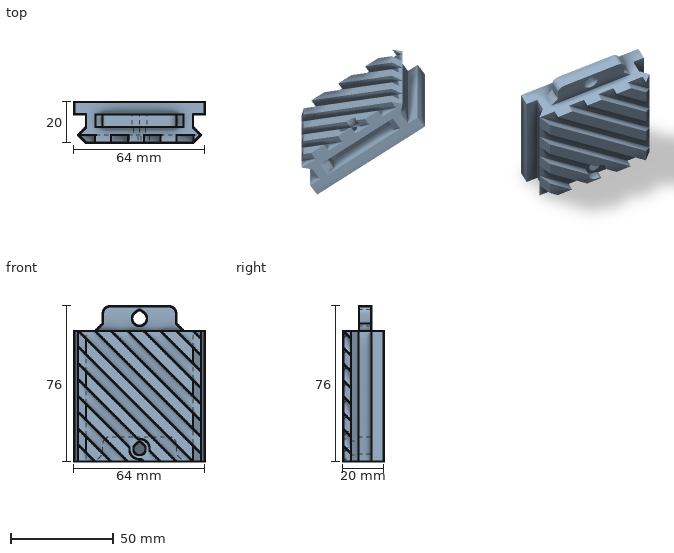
import cadquery as cq
import math

plate_width = 64.0
total_height = 76.0
tab_height = 12.1
plate_height = total_height - tab_height
plate_depth = 20.0
flange_depth = 6.1

tip_half_width = 30.0
bevel = 3.8
neck_half_width = tip_half_width - bevel
tip_y = bevel
neck_front_y = 2 * bevel
flange_front_y = plate_depth - flange_depth

tab_half_width = 18.0
tab_chamfer = 3.6
tab_radius = 3.6
tab_thickness = 6.2
tab_front_y = flange_front_y - tab_thickness
socket_clearance = 0.2
pin_offset = 6.1

tab_hole_radius = 3.6
tab_hole_peak = 4.3
socket_hole_radius = 3.0
socket_hole_peak = 3.9
recess_radius = 5.0

rib_pitch = 16.0
groove_width = 8.2
first_groove_x = -tip_half_width
groove_count = 8
groove_depth = tip_y


def prism(points, y_start, y_length):
    """Extrude an X-Z outline from y_start towards the back."""
    outline = cq.Workplane("XZ", origin=(0, y_start, 0)).polyline(points).close()
    return outline.extrude(-y_length)


def make_plate():
    half_width = plate_width / 2
    right_side = [
        (neck_half_width, 0),
        (tip_half_width, tip_y),
        (neck_half_width, neck_front_y),
        (neck_half_width, flange_front_y),
        (half_width, flange_front_y),
        (half_width, plate_depth),
    ]
    left_side = [(-x, y) for x, y in reversed(right_side)]
    return cq.Workplane("XY").polyline(right_side + left_side).close().extrude(plate_height)


def make_tab(base_z, clearance=0):
    """Tab standing on base_z, flared at its foot, rounded at its top, thickened by the clearance."""
    foot_half_width = tab_half_width + tab_chamfer
    outline = [
        (-foot_half_width, base_z),
        (foot_half_width, base_z),
        (tab_half_width, base_z + tab_chamfer),
        (tab_half_width, base_z + tab_height),
        (-tab_half_width, base_z + tab_height),
        (-tab_half_width, base_z + tab_chamfer),
    ]
    tab = prism(outline, tab_front_y - clearance, tab_thickness + 2 * clearance)
    return tab.faces(">Z").edges("|Y").fillet(tab_radius)


def make_pin_hole(center_z, radius, peak, y_start, y_length):
    """Teardrop bore along Y: a circle whose tangents meet at a peak above it."""
    tangent_angle = math.acos(radius / peak)
    tangent_x = radius * math.sin(tangent_angle)
    tangent_z = center_z + radius * math.cos(tangent_angle)
    outline = (
        cq.Workplane("XZ", origin=(0, y_start, 0))
        .moveTo(0, center_z + peak)
        .lineTo(tangent_x, tangent_z)
        .threePointArc((0, center_z - radius), (-tangent_x, tangent_z))
        .close()
    )
    return outline.extrude(-y_length)


def cut_grooves(body):
    """Cut 45 degree grooves, falling towards +X, across the whole front face."""
    for index in range(groove_count):
        left = first_groove_x + index * rib_pitch
        right = left + groove_width
        outline = [
            (left, 0),
            (right, 0),
            (right - plate_height, plate_height),
            (left - plate_height, plate_height),
        ]
        body = body.cut(prism(outline, 0, groove_depth))
    return body


def cut_socket(body):
    """Cut the socket for the next tab, with its pin hole and round recess in the front."""
    recess = cq.Workplane("XZ", origin=(0, 0, pin_offset)).circle(recess_radius).extrude(-groove_depth)
    pin_hole = make_pin_hole(pin_offset, socket_hole_radius, socket_hole_peak, 0, tab_front_y)
    return body.cut(make_tab(0, socket_clearance)).cut(recess).cut(pin_hole)


def make_drilled_tab():
    center_z = plate_height + pin_offset
    pin_hole = make_pin_hole(center_z, tab_hole_radius, tab_hole_peak, tab_front_y, tab_thickness)
    return make_tab(plate_height).cut(pin_hole)


result = cut_socket(cut_grooves(make_plate())).union(make_drilled_tab())